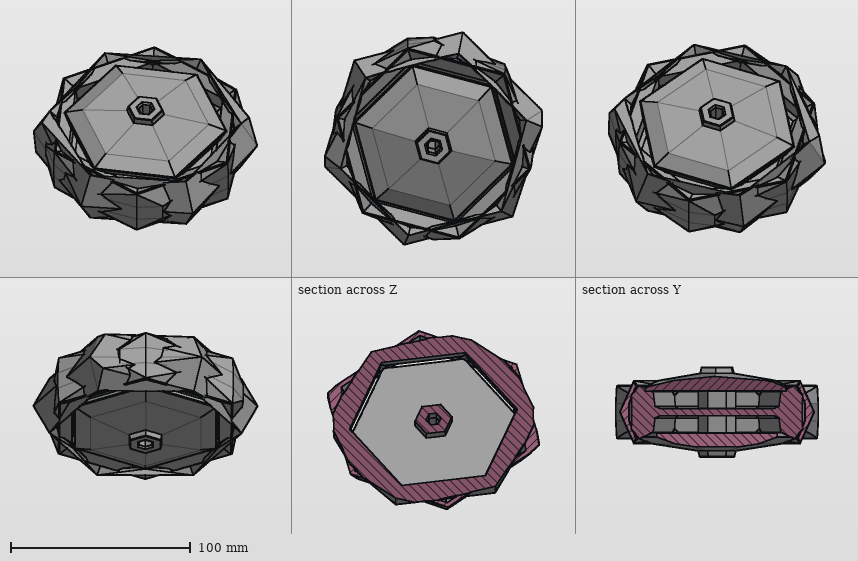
import cadquery as cq
import math

SIDES = 6
CORNER_STEP = 360 / SIDES

TYRE_TURN = 30
TYRE_RADIUS = 62.5
TYRE_SIDE_RADIUS = 53.5
TYRE_HALF_WIDTH = 17.5
LIP_RADIUS = 48.6
LIP_Z = 11.8
SEAT_RADIUS = 52.5
SEAT_Z = 13.6
RELIEF_DISTANCE = 46.8
RELIEF_Z = 13.2
BULGE_TURN = 37
UPPER_BULGE_RADIUS = 57.8
UPPER_BULGE_Z = 15.2
LOWER_BULGE_RADIUS = 61.1
LOWER_BULGE_Z = -8.6

RIM_TURN = 0
RIM_WIDTH_ACROSS_CORNERS = 112.9
RIM_RADIUS = RIM_WIDTH_ACROSS_CORNERS / 2
RIM_BAND_HALF_WIDTH = 4.9
RIM_SHOULDER_RADIUS = 55.9
RIM_SHOULDER_Z = 14.5
RIM_EDGE_RADIUS = 55
RIM_HALF_WIDTH = 14.9
CROWN_STEP = 45
DISH_RADIUS = 47.5
DISH_Z = 11.2
WELL_FOOT_RADIUS = 46.5
WELL_FOOT_Z = 3.4
WEB_RADIUS = 43.6
WEB_HALF_THICKNESS = 2.1

CAP_TURNS = {1: 26.3, -1: 0}
CAP_RADIUS = 45.8
CAP_BASE_Z = 11.6
CAP_WALL_Z = 13.6
CAP_EDGE_INSET = 0.5
CAP_EDGE_Z = 14.1
DOME_RADIUS = 35.5
DOME_Z = 17.8
BOSS_BASE_RADIUS = 10.5
BOSS_BASE_Z = 21.6
BOSS_TOP_RADIUS = 9.8
BOSS_CHAMFER = 0.4
WHEEL_HALF_HEIGHT = 25

BORE_RADIUS = 4.0
BORE_MOUTH_RADIUS = 5.1
BORE_CHAMFER_DEPTH = 1.1


def point(radius, degrees, z):
    angle = math.radians(degrees)
    return cq.Vector(radius * math.cos(angle), radius * math.sin(angle), z)


def hexagon(radius, z, turn):
    return [point(radius, turn + i * CORNER_STEP, z) for i in range(SIDES)]


def facet_solid(loops):
    """Solid bounded by flat facets, each given as a loop of corner points."""
    faces = [cq.Face.makeFromWires(cq.Wire.makePolygon(loop, close=True)) for loop in loops]
    solid = cq.Solid.makeSolid(cq.Shell.makeShell(faces))
    return cq.Workplane(solid.fix())


def hexagon_stack(levels, turn):
    """Flat-sided hexagonal solid through (radius, z) levels."""
    rings = [hexagon(radius, z, turn) for radius, z in levels]
    loops = [rings[0], rings[-1]]
    for lower, upper in zip(rings, rings[1:]):
        for i in range(SIDES):
            j = (i + 1) % SIDES
            loops.append([lower[i], lower[j], upper[j], upper[i]])
    return facet_solid(loops)


def mirrored(levels):
    """The same (radius, z) levels on the other side of the mid plane."""
    return [(radius, -z) for radius, z in reversed(levels)]


def pyramid(base, apex):
    sides = [[base[i - 1], base[i], apex] for i in range(len(base))]
    return facet_solid([base] + sides)


def tread_bulge(side, apex_radius, apex_z, half_turn):
    """Raised point on one sloping tread face."""
    start = TYRE_TURN + half_turn
    end = start + CORNER_STEP
    side_z = side * TYRE_HALF_WIDTH
    base = [
        point(TYRE_RADIUS, start, 0),
        point(TYRE_RADIUS, end, 0),
        point(TYRE_SIDE_RADIUS, end, side_z),
        point(TYRE_SIDE_RADIUS, start, side_z),
    ]
    return pyramid(base, point(apex_radius, BULGE_TURN + half_turn, apex_z))


def lip_relief(side, start):
    """Hollow that thins one flat stretch of a lip, leaving the lip full at the tyre corners."""
    end = start + CORNER_STEP
    side_z = side * TYRE_HALF_WIDTH
    lip_z = side * LIP_Z
    mouth = [
        point(TYRE_SIDE_RADIUS, start, side_z),
        point(TYRE_SIDE_RADIUS, end, side_z),
        point(LIP_RADIUS, end, lip_z),
        point(LIP_RADIUS, start, lip_z),
    ]
    return pyramid(mouth, point(RELIEF_DISTANCE, (start + end) / 2, side * RELIEF_Z))


def make_tyre_blank():
    side_edge = (TYRE_SIDE_RADIUS, TYRE_HALF_WIDTH)
    lip = (LIP_RADIUS, LIP_Z)
    tread = mirrored([side_edge]) + [(TYRE_RADIUS, 0), side_edge]
    tyre = hexagon_stack(tread, TYRE_TURN)
    for half_turn in (0, 180):
        tyre = tyre.union(tread_bulge(1, UPPER_BULGE_RADIUS, UPPER_BULGE_Z, half_turn))
        tyre = tyre.union(tread_bulge(-1, LOWER_BULGE_RADIUS, LOWER_BULGE_Z, half_turn))
    inside = [(RIM_RADIUS, RIM_BAND_HALF_WIDTH), (SEAT_RADIUS, SEAT_Z), lip, side_edge]
    tyre = tyre.cut(hexagon_stack(mirrored(inside) + inside, TYRE_TURN))
    for side in (1, -1):
        for i in range(SIDES):
            tyre = tyre.cut(lip_relief(side, TYRE_TURN + i * CORNER_STEP))
    return tyre


def make_rim_blank():
    loops = [hexagon(RIM_EDGE_RADIUS, z, RIM_TURN) for z in (-RIM_HALF_WIDTH, RIM_HALF_WIDTH)]
    for i in range(SIDES):
        start = RIM_TURN + i * CORNER_STEP
        loops += rim_side_facets(start, start + CORNER_STEP)
    rim = facet_solid(loops)
    dish = [
        (WEB_RADIUS, WEB_HALF_THICKNESS),
        (WELL_FOOT_RADIUS, WELL_FOOT_Z),
        (DISH_RADIUS, DISH_Z),
        (RIM_EDGE_RADIUS, RIM_HALF_WIDTH),
    ]
    rim = rim.cut(hexagon_stack(dish, RIM_TURN)).cut(hexagon_stack(mirrored(dish), RIM_TURN))
    hub = hexagon_stack([(BOSS_BASE_RADIUS, -CAP_BASE_Z), (BOSS_BASE_RADIUS, CAP_BASE_Z)], RIM_TURN)
    bore = hexagon_stack([(BORE_RADIUS, -CAP_BASE_Z), (BORE_RADIUS, CAP_BASE_Z)], RIM_TURN)
    return rim.union(hub).cut(bore)


def crown_direction(start, end):
    """The one multiple of the crown step that lies between two corners."""
    return next(a for a in range(0, 360, CROWN_STEP) if start < a < end)


def rim_side_facets(start, end):
    """Outer side of the rim between two corners, raised to a short upright crown."""
    crown = crown_direction(start, end)
    top_crown = point(RIM_RADIUS, crown, RIM_BAND_HALF_WIDTH)
    bottom_crown = point(RIM_RADIUS, crown, -RIM_BAND_HALF_WIDTH)
    facets = []
    for corner in (start, end):
        top_corner = point(RIM_RADIUS, corner, RIM_BAND_HALF_WIDTH)
        bottom_corner = point(RIM_RADIUS, corner, -RIM_BAND_HALF_WIDTH)
        facets.append([top_corner, top_crown, bottom_crown, bottom_corner])
    for side in (1, -1):
        apex = point(RIM_RADIUS, crown, side * RIM_BAND_HALF_WIDTH)
        shoulder = [point(RIM_SHOULDER_RADIUS, a, side * RIM_SHOULDER_Z) for a in (start, end)]
        edge = [point(RIM_EDGE_RADIUS, a, side * RIM_HALF_WIDTH) for a in (end, start)]
        facets.append(shoulder + edge)
        facets.append(shoulder + [apex])
        for corner, upper in zip((start, end), shoulder):
            facets.append([upper, apex, point(RIM_RADIUS, corner, side * RIM_BAND_HALF_WIDTH)])
    return facets


def make_cap(side, turn):
    levels = [
        (CAP_RADIUS, CAP_BASE_Z),
        (CAP_RADIUS, CAP_WALL_Z),
        (CAP_RADIUS - CAP_EDGE_INSET, CAP_EDGE_Z),
        (DOME_RADIUS, DOME_Z),
        (BOSS_BASE_RADIUS, BOSS_BASE_Z),
        (BOSS_TOP_RADIUS, WHEEL_HALF_HEIGHT - BOSS_CHAMFER),
        (BOSS_TOP_RADIUS - BOSS_CHAMFER, WHEEL_HALF_HEIGHT),
    ]
    bore = [
        (BORE_RADIUS, CAP_BASE_Z),
        (BORE_RADIUS, WHEEL_HALF_HEIGHT - BORE_CHAMFER_DEPTH),
        (BORE_MOUTH_RADIUS, WHEEL_HALF_HEIGHT),
    ]
    if side < 0:
        levels = mirrored(levels)
        bore = mirrored(bore)
    return hexagon_stack(levels, turn).cut(hexagon_stack(bore, turn))


caps = [make_cap(side, turn) for side, turn in CAP_TURNS.items()]
rim = make_rim_blank()
tyre = make_tyre_blank()

for cap in caps:
    rim = rim.cut(cap)
    tyre = tyre.cut(cap)
tyre = tyre.cut(rim)

bodies = [tyre, rim, *caps]
result = cq.Compound.makeCompound([body.solids().val() for body in bodies])